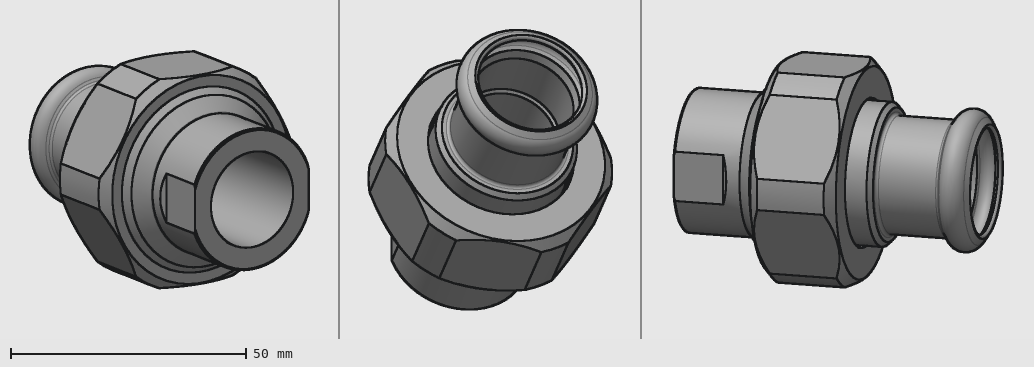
import cadquery as cq
import math

LENGTH = 65.0
BORE_DIAMETER = 21.0
BORE_RADIUS = BORE_DIAMETER / 2

MOUTH_RADIUS = 12.2
SOCKET_RADIUS = 11.2
SOCKET_MOUTH_RADIUS = 11.4
MOUTH_ROUND = MOUTH_RADIUS - SOCKET_MOUTH_RADIUS
TUBE_RADIUS = 12.7
BEAD_RADIUS = 15.35
BEAD_CENTER_X = 3.7
BEAD_START_X = 1.0
BEAD_END_X = 6.5
BEAD_EDGE_RADIUS = 13.65
BEAD_FOOT_X = 7.5
BEAD_FLANK_X = 6.9
BEAD_FLANK_RADIUS = 13.05
SEAL_GROOVE_RADIUS = 14.0
SEAL_GROOVE_START_X = 1.6
SEAL_GROOVE_EDGE_RADIUS = 12.0
SEAL_GROOVE_END_X = 5.3
SHOULDER_TOP_RADIUS = 13.0
NECK_START_X = 5.65
NECK_END_X = 7.6
SOCKET_END_X = 19.5
COLLAR_X = 20.85
COLLAR_FILLET = 0.7
COLLAR_RADIUS = 15.5
COLLAR_CHAMFER = 1.1

NUT_START_X = 26.6
NUT_HEX_END_X = 45.55
NUT_FLATS = 46.0
NUT_CORNER_RADIUS = 24.8
NUT_CHAMFER_LENGTH = 2.1
NUT_FACE_RADIUS = 22.75
NUT_LIP_THICKNESS = 3.9
NUT_LIP_RADIUS = 16.0
NUT_BORE_RADIUS = 18.8
CONE_START_RADIUS = 20.3
NUT_END_X = 47.0

FLANGE_START_X = NUT_START_X + NUT_LIP_THICKNESS
JOINT_X = 35.75

TAIL_RADIUS = COLLAR_RADIUS
CONE_FOOT_RADIUS = 15.65
CONE_END_X = 49.9
TAIL_CHAMFER = 0.3
FLAT_OFFSET = 14.5
FLAT_START_X = 54.0


def revolve_about_x(profile):
    return profile.close().revolve(360, (0, 0, 0), (1, 0, 0))


def make_press_end():
    round_shift = COLLAR_FILLET * (1 - math.sqrt(0.5))
    mouth_shift = MOUTH_ROUND * (1 - math.sqrt(0.5))
    groove_mid_x = (SEAL_GROOVE_START_X + SEAL_GROOVE_END_X) / 2
    profile = (
        cq.Workplane("XY")
        .moveTo(0, MOUTH_RADIUS)
        .lineTo(BEAD_START_X, BEAD_EDGE_RADIUS)
        .threePointArc((BEAD_CENTER_X, BEAD_RADIUS), (BEAD_END_X, BEAD_EDGE_RADIUS))
        .lineTo(BEAD_FLANK_X, BEAD_FLANK_RADIUS)
        .tangentArcPoint((BEAD_FOOT_X, TUBE_RADIUS), relative=False)
        .lineTo(COLLAR_X - COLLAR_FILLET, TUBE_RADIUS)
        .threePointArc(
            (COLLAR_X - round_shift, TUBE_RADIUS + round_shift),
            (COLLAR_X, TUBE_RADIUS + COLLAR_FILLET),
        )
        .lineTo(COLLAR_X, COLLAR_RADIUS - COLLAR_CHAMFER)
        .lineTo(COLLAR_X + COLLAR_CHAMFER, COLLAR_RADIUS)
        .lineTo(FLANGE_START_X, COLLAR_RADIUS)
        .lineTo(FLANGE_START_X, NUT_BORE_RADIUS)
        .lineTo(JOINT_X, NUT_BORE_RADIUS)
        .lineTo(JOINT_X, BORE_RADIUS)
        .lineTo(SOCKET_END_X + SOCKET_RADIUS - BORE_RADIUS, BORE_RADIUS)
        .lineTo(SOCKET_END_X, SOCKET_RADIUS)
        .lineTo(NECK_END_X, SOCKET_RADIUS)
        .lineTo(NECK_START_X, SEAL_GROOVE_EDGE_RADIUS)
        .lineTo(SEAL_GROOVE_END_X, SHOULDER_TOP_RADIUS)
        .threePointArc(
            (groove_mid_x, SEAL_GROOVE_RADIUS),
            (SEAL_GROOVE_START_X, SEAL_GROOVE_EDGE_RADIUS),
        )
        .lineTo(MOUTH_ROUND, SOCKET_MOUTH_RADIUS)
        .threePointArc((mouth_shift, SOCKET_MOUTH_RADIUS + mouth_shift), (0, MOUTH_RADIUS))
    )
    return revolve_about_x(profile)


def make_nut():
    hexagon = (
        cq.Workplane("YZ", origin=(NUT_START_X, 0, 0))
        .polygon(6, NUT_FLATS, circumscribed=True)
        .extrude(NUT_END_X - NUT_START_X)
        .rotate((0, 0, 0), (1, 0, 0), 90)
    )
    turned = revolve_about_x(
        cq.Workplane("XY")
        .moveTo(NUT_START_X, NUT_LIP_RADIUS)
        .lineTo(NUT_START_X, NUT_FACE_RADIUS)
        .lineTo(NUT_START_X + NUT_CHAMFER_LENGTH, NUT_CORNER_RADIUS)
        .lineTo(NUT_HEX_END_X - NUT_CHAMFER_LENGTH, NUT_CORNER_RADIUS)
        .lineTo(NUT_HEX_END_X, NUT_FACE_RADIUS)
        .lineTo(NUT_HEX_END_X, CONE_START_RADIUS)
        .lineTo(NUT_END_X, NUT_BORE_RADIUS)
        .lineTo(FLANGE_START_X, NUT_BORE_RADIUS)
        .lineTo(FLANGE_START_X, NUT_LIP_RADIUS)
    )
    return hexagon.intersect(turned)


def make_flat_cutter(side):
    runout = NUT_CORNER_RADIUS - FLAT_OFFSET
    return (
        cq.Workplane("XY", origin=(0, 0, -TAIL_RADIUS))
        .moveTo(FLAT_START_X, side * FLAT_OFFSET)
        .lineTo(LENGTH, side * FLAT_OFFSET)
        .lineTo(LENGTH, side * NUT_CORNER_RADIUS)
        .lineTo(FLAT_START_X - runout, side * NUT_CORNER_RADIUS)
        .close()
        .extrude(2 * TAIL_RADIUS)
    )


def make_plain_end():
    tail = revolve_about_x(
        cq.Workplane("XY")
        .moveTo(JOINT_X, BORE_RADIUS)
        .lineTo(JOINT_X, NUT_BORE_RADIUS)
        .lineTo(NUT_END_X, NUT_BORE_RADIUS)
        .lineTo(CONE_END_X, CONE_FOOT_RADIUS)
        .lineTo(CONE_END_X + CONE_FOOT_RADIUS - TAIL_RADIUS, TAIL_RADIUS)
        .lineTo(LENGTH - TAIL_CHAMFER, TAIL_RADIUS)
        .lineTo(LENGTH, TAIL_RADIUS - TAIL_CHAMFER)
        .lineTo(LENGTH, BORE_RADIUS)
    )
    for side in (-1, 1):
        tail = tail.cut(make_flat_cutter(side))
    return tail


press_end = make_press_end()
nut = make_nut()
plain_end = make_plain_end()

result = cq.Compound.makeCompound([press_end.val(), nut.val(), plain_end.val()])